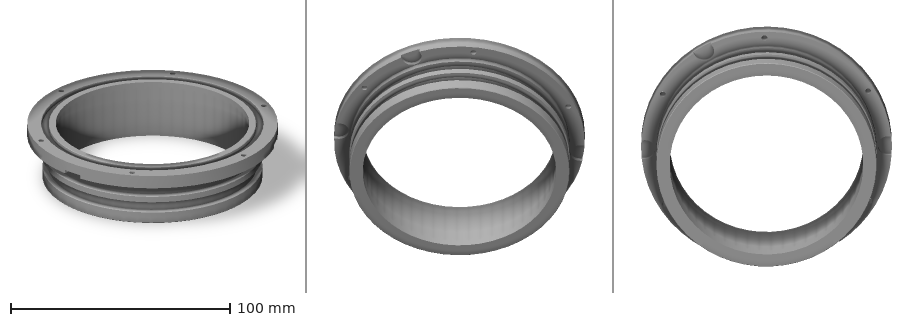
import cadquery as cq
import math

flange_radius = 57.2
body_radius = 50.2
bore_radius = 44.1
height = 27.0
flange_thickness = 6.2

seal_groove_radius = 47.7
seal_groove_width = 4.9
seal_groove_floors = (5.6, 13.5)

face_groove_outer_radius = 50.6
face_groove_inner_radius = 47.3
face_groove_depth = 2.3

hole_count = 6
hole_circle_radius = 54.1
hole_diameter = 2.6

slot_width = 9.1
slot_depth = 1.7
slot_tool_length = 3 * slot_width
slot_center_radius = 55.3
slot_angles = (60, 120, 240, 300)

edge_chamfer = 0.2

tolerance = 0.01


def ring(outer_radius, inner_radius, bottom, thickness):
    """Plain ring about Z, starting at the given level."""
    return (
        cq.Workplane("XY", origin=(0, 0, bottom))
        .circle(outer_radius)
        .circle(inner_radius)
        .extrude(thickness)
    )


def polar_points(radius, angles):
    """Points on a circle about Z at the given angles in degrees."""
    return [
        (radius * math.cos(math.radians(a)), radius * math.sin(math.radians(a)))
        for a in angles
    ]


def bevel_circle(part, radius, level):
    """Chamfer the circular edge about Z with the given radius and level."""
    edge = part.edges("%CIRCLE").filter(
        lambda e: math.isclose(e.radius(), radius, abs_tol=tolerance)
        and math.isclose(e.Center().z, level, abs_tol=tolerance)
    )
    return edge.chamfer(edge_chamfer)


flange_bottom = height - flange_thickness

result = ring(body_radius, bore_radius, 0, height)
result = result.union(ring(flange_radius, bore_radius, flange_bottom, flange_thickness))

for floor in seal_groove_floors:
    result = result.cut(ring(flange_radius, seal_groove_radius, floor, seal_groove_width))

result = result.cut(
    ring(
        face_groove_outer_radius,
        face_groove_inner_radius,
        height - face_groove_depth,
        face_groove_depth,
    )
)

bevelled_edges = [(body_radius, 0)]
bevelled_edges += [(body_radius, floor) for floor in seal_groove_floors]
bevelled_edges += [(face_groove_outer_radius, height), (face_groove_inner_radius, height)]
for radius, level in bevelled_edges:
    result = bevel_circle(result, radius, level)

hole_angles = [90 + i * 360 / hole_count for i in range(hole_count)]
holes = (
    cq.Workplane("XY", origin=(0, 0, flange_bottom))
    .pushPoints(polar_points(hole_circle_radius, hole_angles))
    .circle(hole_diameter / 2)
    .extrude(flange_thickness)
)
result = result.cut(holes)

for angle in slot_angles:
    slot = (
        cq.Workplane("XY", origin=(0, 0, flange_bottom))
        .center(slot_center_radius + (slot_tool_length - slot_width) / 2, 0)
        .slot2D(slot_tool_length, slot_width)
        .extrude(slot_depth)
        .rotate((0, 0, 0), (0, 0, 1), angle)
    )
    result = result.cut(slot)